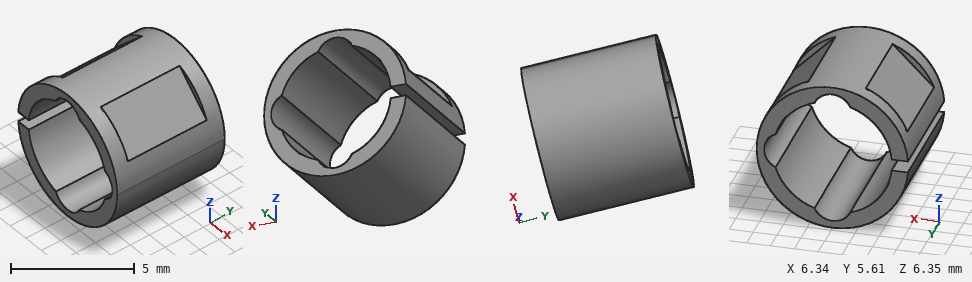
import cadquery as cq

outer_radius = 3.175
bore_radius = 2.495
length = 5.61

slit_width = 0.495

groove_radius = 0.825
groove_depth_radius = 2.86
groove_angles = (0, 90, 270)

flat_distance = 2.93
flat_length = 4.1
flat_angles = (45, 135)


def cylinder(radius):
    """Full-length cylinder on the sleeve axis."""
    return cq.Workplane("XZ").circle(radius).extrude(length / 2, both=True)


def turn(shape, angle):
    """Turn a shape about the sleeve axis, from +X towards +Z."""
    return shape.rotate((0, 0, 0), (0, -1, 0), angle)


sleeve = cylinder(outer_radius).cut(cylinder(bore_radius))

groove = cylinder(groove_radius).translate((groove_depth_radius - groove_radius, 0, 0))
for angle in groove_angles:
    sleeve = sleeve.cut(turn(groove, angle))

flat_cutter = cq.Workplane("XY").box(
    outer_radius, flat_length, 2 * outer_radius, centered=(False, True, True)
).translate((flat_distance, 0, 0))
for angle in flat_angles:
    sleeve = sleeve.cut(turn(flat_cutter, angle))

slit = cq.Workplane("XY").box(outer_radius, length, slit_width).translate((-outer_radius, 0, 0))
result = sleeve.cut(slit)